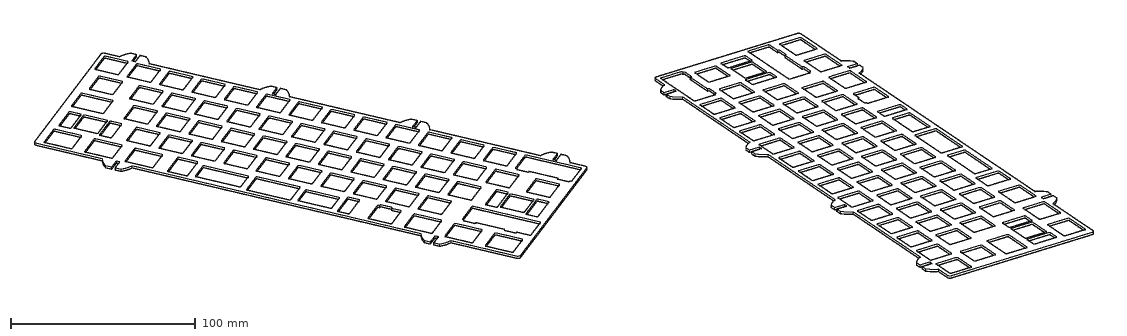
import cadquery as cq

UNIT = 19.05
COLUMNS = 15
ROWS = 5
BACKSPACE_ROW = 0
ENTER_ROW = 2
SHIFT_ROW = 3
SPACE_ROW = 4
THICKNESS = 1.5
PLATE_LENGTH = COLUMNS * UNIT
PLATE_WIDTH = ROWS * UNIT
PLATE_CORNER_RADIUS = 1.5

SWITCH_SIZE = 14.0
CUTOUT_RADIUS = 0.5

STABILIZER_WIDTH = 7.0
STABILIZER_SHORT_REACH = 7.0
STABILIZER_LONG_REACH = 8.0
WIDE_KEY_STABILIZER_OFFSET = 11.938
SPACE_6U25_STABILIZER_OFFSET = 50.0
SPACE_7U_STABILIZER_OFFSET = 57.15

SPACE_WINDOW_HEIGHT = 11.5
LEFT_WINDOW_START = 93.3
LEFT_WINDOW_END = 120.0
RIGHT_WINDOW_START = 153.6
RIGHT_WINDOW_END = 173.5

TAB_HEIGHT = 5.5
TAB_BASE_WIDTH = 17.5
TAB_TIP_WIDTH = 9.0
TAB_FLANK_BULGE = 0.3
TAB_SLOT_WIDTH = 2.0
TAB_SLOT_DEPTH = 6.5
REAR_TAB_COUNT = 4
REAR_TAB_SPACING = (PLATE_LENGTH - 2 * UNIT) / (REAR_TAB_COUNT - 1)
FRONT_TAB_OFFSET = 93.75

ROW_KEYS = [
    [column + 0.5 for column in range(13)] + [13.5, 14.0, 14.5],
    [0.75] + [column + 2.0 for column in range(12)] + [14.25],
    [0.625, 0.875] + [column + 2.25 for column in range(11)] + [13.875],
    [1.125] + [column + 2.75 for column in range(10)] + [13.125, 13.625, 14.0, 14.5],
    [0.625, 0.75, 1.875, 2.0, 3.125, 3.25, 6.875, 7.5,
     10.625, 11.75, 11.875, 13.0, 13.125, 14.25, 14.375],
]
BACKSPACE = 14.0
ENTER = 13.875
LEFT_SHIFT = 1.125
RIGHT_SHIFT = 13.625
SPACE_6U25 = 6.875
SPACE_7U = 7.5


def key_x(units):
    return units * UNIT - PLATE_LENGTH / 2


def row_y(row):
    return PLATE_WIDTH / 2 - (row + 0.5) * UNIT


def opening(x_min, x_max, y_min, y_max):
    """Through-cutting block over the given rectangle."""
    return (
        cq.Workplane("XY")
        .center((x_min + x_max) / 2, (y_min + y_max) / 2)
        .rect(x_max - x_min, y_max - y_min)
        .extrude(THICKNESS)
    )


def rounded_opening(x_min, x_max, y_min, y_max):
    """Rectangular opening with rounded vertical corners."""
    return opening(x_min, x_max, y_min, y_max).edges("|Z").fillet(CUTOUT_RADIUS)


def switch_opening(units, row):
    x, y, half = key_x(units), row_y(row), SWITCH_SIZE / 2
    return rounded_opening(x - half, x + half, y - half, y + half)


def stabilizer_pair(units, row, offset, reach_rear, reach_front):
    """Two stabilizer openings, one on each side of a wide key."""
    y, half = row_y(row), STABILIZER_WIDTH / 2
    return [
        rounded_opening(x - half, x + half, y - reach_front, y + reach_rear)
        for x in (key_x(units) - offset, key_x(units) + offset)
    ]


def space_window(start, end):
    left_edge = -PLATE_LENGTH / 2
    y, half = row_y(SPACE_ROW), SPACE_WINDOW_HEIGHT / 2
    return rounded_opening(left_edge + start, left_edge + end, y - half, y + half)


def make_cutouts():
    """All key openings merged into one cutting tool."""
    short, long = STABILIZER_SHORT_REACH, STABILIZER_LONG_REACH
    wide = WIDE_KEY_STABILIZER_OFFSET
    blocks = [switch_opening(units, row) for row, keys in enumerate(ROW_KEYS) for units in keys]
    blocks += stabilizer_pair(BACKSPACE, BACKSPACE_ROW, wide, short, long)
    blocks += stabilizer_pair(ENTER, ENTER_ROW, wide, long, long)
    blocks += stabilizer_pair(LEFT_SHIFT, SHIFT_ROW, wide, short, long)
    blocks += stabilizer_pair(RIGHT_SHIFT, SHIFT_ROW, wide, short, long)
    blocks += stabilizer_pair(SPACE_6U25, SPACE_ROW, SPACE_6U25_STABILIZER_OFFSET, long, short)
    blocks += stabilizer_pair(SPACE_7U, SPACE_ROW, SPACE_7U_STABILIZER_OFFSET, long, short)
    blocks.append(space_window(LEFT_WINDOW_START, LEFT_WINDOW_END))
    blocks.append(space_window(RIGHT_WINDOW_START, RIGHT_WINDOW_END))
    first, *others = [block.val() for block in blocks]
    return cq.Workplane(first.fuse(*others).clean())


def make_tab():
    """Tab standing on Y = 0 and pointing to +Y."""
    base, tip = TAB_BASE_WIDTH / 2, TAB_TIP_WIDTH / 2
    mid_x = (base + tip) / 2 + TAB_FLANK_BULGE
    mid_y = TAB_HEIGHT / 2 + TAB_FLANK_BULGE
    return (
        cq.Workplane("XY")
        .moveTo(-base, 0)
        .threePointArc((-mid_x, mid_y), (-tip, TAB_HEIGHT))
        .lineTo(tip, TAB_HEIGHT)
        .threePointArc((mid_x, mid_y), (base, 0))
        .close()
        .extrude(THICKNESS)
    )


def make_tab_slot():
    """Slot through the tab, open at its tip and ending just inside the plate."""
    half = TAB_SLOT_WIDTH / 2
    return opening(-half, half, TAB_HEIGHT - TAB_SLOT_DEPTH, TAB_HEIGHT)


def place_on_edges(shape):
    """Copies of a tab-aligned shape at every tab position."""
    rear_edge = PLATE_WIDTH / 2
    copies = [
        shape.translate((key_x(1) + index * REAR_TAB_SPACING, rear_edge, 0))
        for index in range(REAR_TAB_COUNT)
    ]
    turned = shape.rotate((0, 0, 0), (0, 0, 1), 180)
    copies += [turned.translate((x, -rear_edge, 0)) for x in (-FRONT_TAB_OFFSET, FRONT_TAB_OFFSET)]
    return copies


def make_plate():
    plate = (
        cq.Workplane("XY")
        .rect(PLATE_LENGTH, PLATE_WIDTH)
        .extrude(THICKNESS)
        .edges("|Z")
        .fillet(PLATE_CORNER_RADIUS)
    )
    for tab in place_on_edges(make_tab()):
        plate = plate.union(tab)
    for slot in place_on_edges(make_tab_slot()):
        plate = plate.cut(slot)
    return plate.cut(make_cutouts())


result = make_plate()